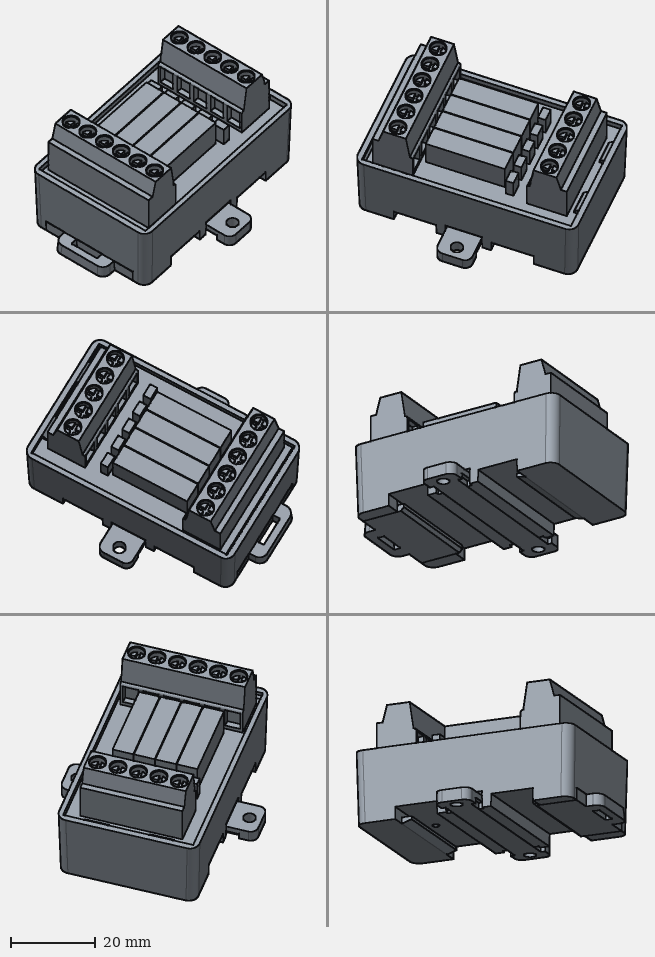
import cadquery as cq
import math


shell_width = 34.8
shell_back_y = 28.3
shell_front_y = -27.7
shell_height = 18.0
shell_taper = 0.4
shell_corner_radius = 2.4
side_wall = 1.3
end_wall = 1.5
floor_z = 16.4
front_ledge = 0.6
snap_width = 5.95
snap_reach = 1.3
snap_nose_height = 0.4
snap_spacing = 16.05

rail_depth = 3.05
rail_outer_y = 17.75
block_half_length = 7.0
block_draft = 0.1
hook_width = 26.2
hook_reach = 2.5
hook_top_z = 1.55
hook_tip_z = 0.8
bump_radius = 1.1
bump_height = 0.4
bump_y = 14.75

pole_pitch = 5.05
back_pole_count = 5
front_pole_count = 6
back_terminal_y = 14.2
front_terminal_y = -13.7
terminal_depth = 10.2
terminal_top_z = 30.0
lip_z = 23.4
lip_radius = 0.7
top_inner_depth = 1.7
top_outer_depth = 7.55
step_depth = 8.7
step_z = 25.8
screw_depth = 4.75
screw_diameter = 4.1
screw_mouth_inset = 0.1
screw_mouth_height = 0.35
screw_recess = 1.8
screw_slot_width = 0.85
screw_slot_depth = 0.9
window_width = 3.8
window_bottom_z = 17.5
window_height = 5.1
window_depth = 1.3
window_draft = 10

relay_count = 4
relay_width = 5.1
relay_gap = 0.2
relay_length = 20.1
relay_center = (-0.4, -2.4)
relay_top_z = 23.4
lamp_count = 5
lamp_size = (3.3, 1.95)
lamp_y = 9.5
lamp_top_z = 21.3

bar_length = 48.6
bar_width = 8.85
bar_thickness = 3.05
bar_corner_radius = 1.9
bar_hole_diameter = 3.0
bar_hole_x = 21.3
bar_notch_length = 40.2
bar_notch_height = 1.5
bar_notch_depth = 1.1
mouth_width = 9.3
mouth_depth = 1.0
mouth_top_z = 4.0

clip_width = 26.2
clip_thickness = 3.05
clip_nose_reach = 1.8
clip_nose_height = 1.7
clip_nose_chamfer = 0.85
handle_width = 15.3
handle_end_y = -31.2
handle_corner_radius = 2.15
handle_draft = 3.4
handle_slot_width = 7.4
handle_slot_end_y = -29.0

shell_length = shell_back_y - shell_front_y
shell_center_y = (shell_back_y + shell_front_y) / 2
clip_front_y = shell_front_y + shell_taper
cavity_back_y = shell_back_y - end_wall
cavity_front_y = shell_front_y + end_wall


def block(x_size, y_range, z_range):
    """Box centred on X = 0 between two Y and two Z values."""
    y_size = y_range[1] - y_range[0]
    z_size = z_range[1] - z_range[0]
    return cq.Workplane("XY").box(x_size, y_size, z_size, centered=(True, False, False)).translate(
        (0, y_range[0], z_range[0])
    )


def prism_along_x(yz_points, width):
    """Closed YZ outline extruded symmetrically about X = 0."""
    return cq.Workplane("YZ").polyline(yz_points).close().extrude(width / 2, both=True)


def row(count, pitch):
    """Evenly spaced positions centred on zero."""
    return [(index - (count - 1) / 2) * pitch for index in range(count)]


def make_shell():
    """Tapered tray: solid below the board, open above it."""
    taper_angle = math.degrees(math.atan(shell_taper / shell_height))
    shell = (
        cq.Workplane("XY", origin=(0, shell_center_y, shell_height))
        .rect(shell_width, shell_length)
        .extrude(-shell_height, taper=taper_angle)
        .edges("not(<Z or >Z)")
        .fillet(shell_corner_radius)
    )
    cavity = block(
        shell_width - 2 * side_wall, (cavity_front_y, cavity_back_y), (floor_z, shell_height)
    )
    return shell.cut(cavity)


def make_front_ledge():
    """Sloped strip between the board and the front wall."""
    outline = [
        (cavity_front_y, floor_z),
        (cavity_front_y + front_ledge, floor_z),
        (cavity_front_y, floor_z + front_ledge),
    ]
    return prism_along_x(outline, shell_width - 2 * side_wall)


def make_snaps():
    """Two sloped snap noses on the back wall."""
    outline = [
        (cavity_back_y, floor_z),
        (cavity_back_y - snap_reach, floor_z),
        (cavity_back_y - snap_reach, floor_z + snap_nose_height),
        (cavity_back_y, shell_height),
    ]
    snap = prism_along_x(outline, snap_width)
    return [snap.translate((x, 0, 0)) for x in row(2, snap_spacing)]


def make_rail_cuts():
    """Two channels under the housing for the flanges of the rail."""
    cuts = []
    for side in (1, -1):
        outline = [
            (side * rail_outer_y, 0),
            (side * (block_half_length - block_draft), 0),
            (side * block_half_length, rail_depth),
            (side * rail_outer_y, rail_depth),
        ]
        cuts.append(prism_along_x(outline, 2 * shell_width))
    return cuts


def make_hook():
    """Fixed hook that grips the back flange of the rail."""
    outline = [
        (rail_outer_y, 0),
        (rail_outer_y - hook_reach, hook_tip_z),
        (rail_outer_y - hook_reach, hook_top_z),
        (rail_outer_y, hook_top_z),
    ]
    return prism_along_x(outline, hook_width)


def make_bump():
    """Small dome hanging from the roof of the back rail channel."""
    center_z = rail_depth - bump_height + bump_radius
    return cq.Workplane("XY").sphere(bump_radius).translate((0, bump_y, center_z))


def screw_recess_cut(x):
    """Flared screw hole with a cross slot sunk into its floor."""
    screw_radius = screw_diameter / 2 - screw_mouth_inset
    mouth_taper = math.degrees(math.atan(screw_mouth_inset / screw_mouth_height))
    screw_top = cq.Workplane("XY", origin=(x, screw_depth, terminal_top_z))
    slot_floor_z = terminal_top_z - screw_recess - screw_slot_depth
    slot_floor = cq.Workplane("XY", origin=(x, screw_depth, slot_floor_z))
    hole = screw_top.circle(screw_radius).extrude(-screw_recess)
    mouth = screw_top.circle(screw_diameter / 2).extrude(-screw_mouth_height, taper=mouth_taper)
    slot = slot_floor.rect(screw_diameter, screw_slot_width).extrude(screw_slot_depth)
    cross_slot = slot_floor.rect(screw_slot_width, screw_diameter).extrude(screw_slot_depth)
    screw_head = slot_floor.circle(screw_radius).extrude(screw_slot_depth)
    cross = slot.union(cross_slot).intersect(screw_head)
    return hole.union(mouth).union(cross)


def wire_window_cut(x):
    """Drafted wire opening in the inner face of a terminal block."""
    return (
        cq.Workplane("XZ", origin=(x, 0, window_bottom_z + window_height / 2))
        .rect(window_width, window_height)
        .extrude(-window_depth, taper=window_draft)
    )


def make_terminal_block(pole_count):
    """Terminal block with its inner face on Y = 0 and its depth along +Y."""
    profile = (
        cq.Workplane("YZ")
        .moveTo(0, floor_z)
        .lineTo(0, lip_z - lip_radius)
        .tangentArcPoint((lip_radius, lip_z), relative=False)
        .lineTo(top_inner_depth, terminal_top_z)
        .lineTo(top_outer_depth, terminal_top_z)
        .lineTo(step_depth, step_z)
        .lineTo(terminal_depth, step_z)
        .lineTo(terminal_depth, floor_z)
        .close()
    )
    body = profile.extrude(pole_count * pole_pitch / 2, both=True)
    for x in row(pole_count, pole_pitch):
        body = body.cut(screw_recess_cut(x)).cut(wire_window_cut(x))
    return body


def make_relays():
    """Row of relays standing on the board."""
    relay_y = (relay_center[1] - relay_length / 2, relay_center[1] + relay_length / 2)
    relay = block(relay_width, relay_y, (floor_z, relay_top_z))
    return [
        relay.translate((relay_center[0] + x, 0, 0))
        for x in row(relay_count, relay_width + relay_gap)
    ]


def make_lamps():
    """Row of indicator lamps, one per pole of the back terminal block."""
    lamp_range = (lamp_y - lamp_size[1] / 2, lamp_y + lamp_size[1] / 2)
    lamp = block(lamp_size[0], lamp_range, (floor_z, lamp_top_z))
    return [lamp.translate((x, 0, 0)) for x in row(lamp_count, pole_pitch)]


def make_bar_mouths():
    """Openings in the side walls around the bar, with a roof that slopes down inward."""
    outer_x = shell_width / 2
    inner_x = outer_x - shell_taper - mouth_depth
    outline = [
        (inner_x, 0),
        (outer_x, 0),
        (outer_x, mouth_top_z),
        (outer_x - shell_taper, mouth_top_z),
        (inner_x, bar_thickness),
    ]
    mouth = cq.Workplane("XZ").polyline(outline).close().extrude(mouth_width / 2, both=True)
    return [mouth, mouth.mirror("YZ")]


def make_clip_recess():
    """Pocket that takes the clip plate, open to the front and to the rail channel."""
    return block(clip_width, (2 * shell_front_y, -rail_outer_y), (0, clip_thickness))


def make_housing(bar):
    """Housing with board, terminals, relays and lamps as one solid."""
    housing = make_shell()
    for cut in [*make_rail_cuts(), *make_bar_mouths(), make_clip_recess(), bar]:
        housing = housing.cut(cut)
    back_terminal = make_terminal_block(back_pole_count).translate((0, back_terminal_y, 0))
    front_terminal = (
        make_terminal_block(front_pole_count)
        .rotate((0, 0, 0), (0, 0, 1), 180)
        .translate((0, front_terminal_y, 0))
    )
    additions = [
        make_front_ledge(),
        *make_snaps(),
        make_hook(),
        make_bump(),
        back_terminal,
        front_terminal,
        *make_relays(),
        *make_lamps(),
    ]
    for addition in additions:
        housing = housing.union(addition)
    return housing


def make_mounting_bar():
    """Bar through the housing with a drilled ear at each end."""
    bar = (
        cq.Workplane("XY")
        .rect(bar_length, bar_width)
        .extrude(bar_thickness)
        .edges("|Z")
        .fillet(bar_corner_radius)
        .faces(">Z")
        .workplane()
        .pushPoints([(-bar_hole_x, 0), (bar_hole_x, 0)])
        .hole(bar_hole_diameter)
    )
    notch_inner_y = bar_width / 2 - bar_notch_depth
    notch = block(bar_notch_length, (notch_inner_y, bar_width), (0, bar_notch_height))
    return bar.cut(notch).cut(notch.mirror("XZ"))


def make_clip():
    """Sliding rail clip: plate, nose under the rail and pull handle."""
    nose_y = -rail_outer_y + clip_nose_reach
    outline = [
        (clip_front_y, 0),
        (nose_y - clip_nose_chamfer, 0),
        (nose_y, clip_nose_chamfer),
        (nose_y, clip_nose_height),
        (-rail_outer_y, clip_nose_height),
        (-rail_outer_y, clip_thickness),
        (clip_front_y, clip_thickness),
    ]
    plate = prism_along_x(outline, clip_width)
    handle = (
        cq.Workplane("XY", origin=(0, clip_front_y, 0))
        .rect(handle_width, 2 * (clip_front_y - handle_end_y))
        .extrude(clip_thickness, taper=handle_draft)
        .edges("not(<Z or >Z)")
        .fillet(handle_corner_radius)
    )
    handle_slot = (
        cq.Workplane("XY", origin=(0, clip_front_y, 0))
        .rect(handle_slot_width, 2 * (clip_front_y - handle_slot_end_y))
        .extrude(clip_thickness, taper=-handle_draft)
    )
    return handle.cut(handle_slot).union(plate)


mounting_bar = make_mounting_bar()
clip = make_clip()
housing = make_housing(mounting_bar)

result = cq.Compound.makeCompound([housing.val(), mounting_bar.val(), clip.val()])